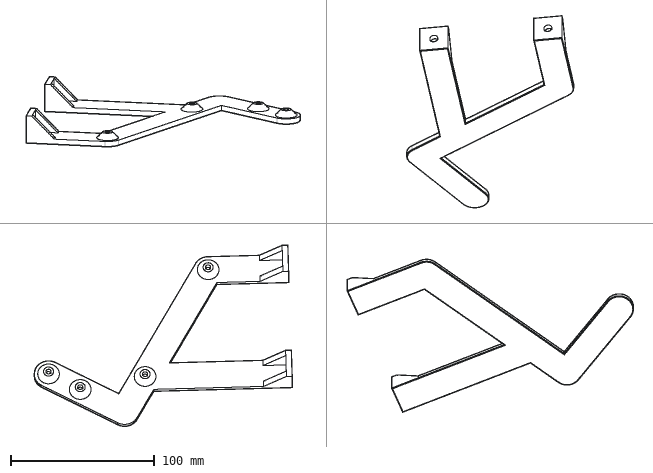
import cadquery as cq
import math

plate_thickness = 4.0
strip_width = 20.0
half_width = strip_width / 2
bottom_chamfer = 0.5
spine_length = 92.4
hook_rise = 30.0
hook_length = 60.0
hook_boss_spacing = 25.0

arm_slope = 30
upper_arm_length = 102.0
lower_arm_length = 55.7

wall_height = 20.0
wall_thickness = 4.0
gusset_thickness = 4.0
wall_hole_diameter = 5.5

boss_base_diameter = 15.0
boss_top_diameter = 7.0
boss_height = 4.0
boss_hole_diameter = 3.5
boss_hole_depth = boss_height

lower_joint = (0, 0)
upper_joint = (0, spine_length)
hook_corner = (0, spine_length + hook_rise)
hook_end = (hook_length, hook_corner[1])
boss_places = [
    lower_joint,
    upper_joint,
    (hook_length - hook_boss_spacing, hook_corner[1]),
    hook_end,
]


def round_strip(start, end):
    """Plate strip between two points, with a full round at both ends."""
    run = end[0] - start[0]
    rise = end[1] - start[1]
    length = math.hypot(run, rise)
    angle = math.degrees(math.atan2(rise, run))
    middle = ((start[0] + end[0]) / 2, (start[1] + end[1]) / 2)
    return (
        cq.Workplane("XY")
        .center(*middle)
        .slot2D(length + strip_width, strip_width, angle)
        .extrude(plate_thickness)
    )


def arm(joint, length):
    """Slanted arm with its end wall; built along -X and turned about the joint."""
    strip = (
        cq.Workplane("XY")
        .rect(length, strip_width)
        .extrude(plate_thickness)
        .translate((-length / 2, 0, 0))
    )
    top_end = wall_thickness - length
    foot_end = top_end + wall_height - plate_thickness
    bracket = (
        cq.Workplane("XZ")
        .moveTo(-length, 0)
        .lineTo(-length, wall_height)
        .lineTo(top_end, wall_height)
        .lineTo(foot_end, plate_thickness)
        .lineTo(foot_end, 0)
        .close()
        .extrude(half_width, both=True)
    )
    gusset_size = foot_end - top_end
    space_between_gussets = (
        cq.Workplane("XY", origin=(top_end, 0, plate_thickness))
        .box(
            gusset_size,
            strip_width - 2 * gusset_thickness,
            gusset_size,
            centered=(False, True, False),
        )
    )
    wall_hole = (
        cq.Workplane("YZ", origin=(-length, 0, wall_height / 2))
        .circle(wall_hole_diameter / 2)
        .extrude(wall_thickness)
    )
    straight_arm = strip.union(bracket).cut(space_between_gussets).cut(wall_hole)
    return straight_arm.rotate((0, 0, 0), (0, 0, 1), arm_slope).translate((*joint, 0))


def boss_cones():
    """Conical bosses standing on the plate."""
    cone = cq.Solid.makeCone(boss_base_diameter / 2, boss_top_diameter / 2, boss_height)
    return (
        cq.Workplane("XY", origin=(0, 0, plate_thickness))
        .pushPoints(boss_places)
        .eachpoint(lambda place: cone.moved(place))
    )


def boss_holes():
    """Blind holes sunk from the boss tops."""
    return (
        cq.Workplane("XY", origin=(0, 0, plate_thickness + boss_height))
        .pushPoints(boss_places)
        .circle(boss_hole_diameter / 2)
        .extrude(-boss_hole_depth)
    )


bracket_body = (
    round_strip(lower_joint, hook_corner)
    .union(round_strip(hook_corner, hook_end))
    .union(arm(upper_joint, upper_arm_length))
    .union(arm(lower_joint, lower_arm_length))
    .union(boss_cones())
    .cut(boss_holes())
    .clean()
)

result = (
    bracket_body
    .faces("<Z")
    .edges()
    .chamfer(bottom_chamfer)
)